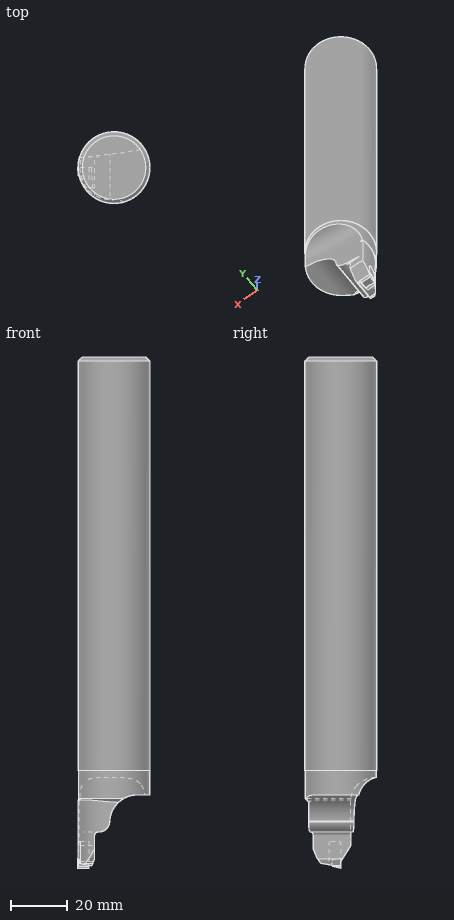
import cadquery as cq
import math

overall_length = 180.0
shank_radius = 25.37 / 2
collar_radius = 25.15 / 2
shank_chamfer = 1.5
shank_bottom = 34.4
collar_bottom = 24.55
collar_cone_depth = 1.5

head_radius = 11.85
head_offset_x = -0.85
head_offset_y = 0.5
head_step = 0.6
head_top = collar_bottom - head_step

relief_shelf_z = 25.75
relief_radius = 9.5
web_inner_x = -1.45
web_corner_radius = 4.0
blade_shoulder_z = 12.7
blade_inner_x = -6.85
blade_fillet_radius = 1.3

side_relief_radius = 8.3
side_relief_arc_z = 23.7
side_wall_y = 4.85
side_relief_tilt = 6.5

tip_front_y = 3.65
tip_front_top_z = 8.1
tip_front_bottom_z = 2.3
tip_back_y = -10.0
tip_back_top_z = 7.4
tip_back_mid_y = -8.4
tip_back_mid_z = 3.6
tip_heel_y = -7.0
tip_heel_z = 1.7
tip_bottom_z = 0.5
tip_outer_z = 1.9
tip_inner_z = 0.8
tip_inner_chamfer_x = 1.0
tip_inner_chamfer_z = 2.5

overall_width = 25.58
insert_outer_x = shank_radius - overall_width
insert_inner_x = -8.8
insert_thickness = 4.1
insert_top = 9.5
insert_corner_radius = 1.0
cutter_thickness = 2.9
cutter_top = 3.5
cutter_top_drop = 0.5
cutter_side_clearance = 0.3
cutter_bottom_clearance = 0.7

reach = 2 * shank_radius
below_tip = -1.0


def arc_middle(center, radius, side, rise):
    """Middle point of a quarter arc; side and rise are the signs of its quadrant."""
    offset = radius * math.sqrt(0.5)
    return (center[0] + side * offset, center[1] + rise * offset)


def make_shank():
    """Round shank with its collar and the short cone below the collar."""
    cone_end_radius = collar_radius - collar_cone_depth
    cone_end_z = collar_bottom - collar_cone_depth
    return (
        cq.Workplane("XZ")
        .moveTo(0, cone_end_z)
        .lineTo(cone_end_radius, cone_end_z)
        .lineTo(collar_radius, collar_bottom)
        .lineTo(collar_radius, shank_bottom)
        .lineTo(shank_radius, shank_bottom)
        .lineTo(shank_radius, overall_length - shank_chamfer)
        .lineTo(shank_radius - shank_chamfer, overall_length)
        .lineTo(0, overall_length)
        .close()
        .revolve(360, (0, 0, 0), (0, 1, 0))
    )


def make_head_cylinder():
    """Full round of the head before its reliefs are cut."""
    return cq.Workplane("XY").center(head_offset_x, head_offset_y).circle(head_radius).extrude(head_top)


def make_inner_relief():
    """Material removed on the +X side: a large arc, the web, the blade face and a sloped underside."""
    arc_center = (web_inner_x + relief_radius, relief_shelf_z - relief_radius)
    corner_center = (web_inner_x - web_corner_radius, blade_shoulder_z + web_corner_radius)
    fillet_center = (blade_inner_x + blade_fillet_radius, blade_shoulder_z - blade_fillet_radius)
    return (
        cq.Workplane("XZ")
        .moveTo(reach, relief_shelf_z)
        .lineTo(arc_center[0], relief_shelf_z)
        .threePointArc(
            arc_middle(arc_center, relief_radius, -1, 1),
            (web_inner_x, arc_center[1]),
        )
        .lineTo(web_inner_x, corner_center[1])
        .threePointArc(
            arc_middle(corner_center, web_corner_radius, 1, -1),
            (corner_center[0], blade_shoulder_z),
        )
        .lineTo(fillet_center[0], blade_shoulder_z)
        .threePointArc(
            arc_middle(fillet_center, blade_fillet_radius, -1, 1),
            (blade_inner_x, fillet_center[1]),
        )
        .lineTo(blade_inner_x, tip_inner_z + tip_inner_chamfer_z)
        .lineTo(blade_inner_x - tip_inner_chamfer_x, tip_inner_z)
        .lineTo(insert_outer_x, tip_outer_z)
        .lineTo(insert_outer_x, below_tip)
        .lineTo(reach, below_tip)
        .close()
        .extrude(reach, both=True)
    )


def make_side_relief():
    """Material removed on the +Y side, turned about Z by the wall tilt."""
    arc_center = (side_wall_y + side_relief_radius, side_relief_arc_z)
    relief_top = side_relief_arc_z + side_relief_radius
    return (
        cq.Workplane("YZ")
        .moveTo(side_wall_y, below_tip)
        .lineTo(side_wall_y, side_relief_arc_z)
        .threePointArc(
            arc_middle(arc_center, side_relief_radius, -1, 1),
            (arc_center[0], relief_top),
        )
        .lineTo(reach, relief_top)
        .lineTo(reach, below_tip)
        .close()
        .extrude(reach, both=True)
        .rotate((0, 0, 0), (0, 0, 1), side_relief_tilt)
    )


def make_tip_outline():
    """Allowed blade region: flat and sloped on +Y, facets on -Y, bottom rising to the heel."""
    return (
        cq.Workplane("YZ")
        .polyline(
            [
                (0, tip_bottom_z),
                (0, tip_front_bottom_z),
                (tip_front_y, tip_front_top_z),
                (tip_front_y, blade_shoulder_z),
                (reach, blade_shoulder_z),
                (reach, overall_length),
                (-reach, overall_length),
                (-reach, tip_back_top_z),
                (tip_back_y, tip_back_top_z),
                (tip_back_mid_y, tip_back_mid_z),
                (tip_heel_y, tip_heel_z),
            ]
        )
        .close()
        .extrude(reach, both=True)
    )


def make_insert():
    """Insert shank flush with the head surface, plus the proud cutting end."""
    insert_shank = (
        cq.Workplane("XY")
        .box(reach, insert_thickness, insert_top, centered=False)
        .translate((insert_inner_x - reach, -insert_thickness, 0))
        .edges("|X and >Z")
        .fillet(insert_corner_radius)
        .intersect(make_head_cylinder())
        .cut(make_inner_relief())
        .intersect(make_tip_outline())
    )
    cutter_plan = (
        cq.Workplane("XY")
        .polyline(
            [
                (insert_outer_x, 0),
                (insert_inner_x, 0),
                (insert_inner_x, -cutter_thickness),
                (insert_outer_x + cutter_side_clearance, -cutter_thickness),
            ]
        )
        .close()
        .extrude(cutter_top)
    )
    cutter_profile = (
        cq.Workplane("YZ")
        .polyline(
            [
                (0, 0),
                (0, cutter_top),
                (-cutter_thickness, cutter_top - cutter_top_drop),
                (-cutter_thickness, cutter_bottom_clearance),
            ]
        )
        .close()
        .extrude(reach, both=True)
    )
    return insert_shank.union(cutter_plan.intersect(cutter_profile))


insert = make_insert()
holder = (
    make_shank()
    .union(make_head_cylinder())
    .cut(make_inner_relief())
    .cut(make_side_relief())
    .intersect(make_tip_outline())
    .cut(insert)
)

result = cq.Compound.makeCompound([holder.val(), insert.val()])